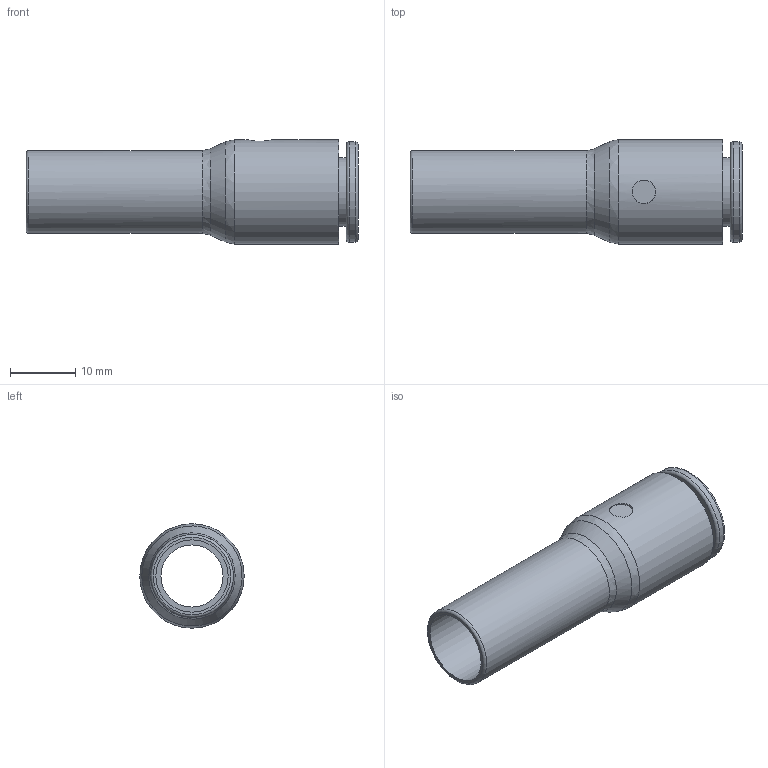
import cadquery as cq
import math

stem_radius = 12.7 / 2
stem_bore_radius = 11.1 / 2
stem_end_round = 0.4

body_radius = 16.0 / 2
body_end_x = 47.98
cone_half_angle = math.radians(25)
cone_start_x = 27.7
stem_blend_radius = 2.9
body_blend_radius = 3.3

overall_length = 50.96
neck_radius = 10.5 / 2
collet_bore_radius = 9.53 / 2
flange_radius = 15.4 / 2
flange_width = 1.8
flange_round = 0.45

recess_x = 35.9
recess_diameter = 3.6
recess_depth = 0.3

cone_length = (body_radius - stem_radius) / math.tan(cone_half_angle)
cone_end_x = cone_start_x + cone_length


def cylinder(start_x, end_x, radius):
    """Cylinder along the part axis between two X stations."""
    return cq.Workplane("YZ", origin=(start_x, 0, 0)).circle(radius).extrude(end_x - start_x)


def circle_centred_at(x):
    """Selector for the circular edge whose centre lies on the part axis at this X."""
    return cq.selectors.NearestToPointSelector((x, 0, 0))


def make_outer_body():
    """Stem, blended cone and socket body as one turned solid."""
    body = (
        cq.Workplane("XY")
        .moveTo(0, 0)
        .lineTo(0, stem_radius)
        .lineTo(cone_start_x, stem_radius)
        .lineTo(cone_end_x, body_radius)
        .lineTo(body_end_x, body_radius)
        .lineTo(body_end_x, 0)
        .close()
        .revolve(360, (0, 0, 0), (1, 0, 0))
    )

    body = body.edges(circle_centred_at(cone_end_x)).fillet(body_blend_radius)
    body = body.edges(circle_centred_at(cone_start_x)).fillet(stem_blend_radius)
    return body.faces("<X").edges().fillet(stem_end_round)


def make_collet():
    """Neck and rounded release flange."""
    flange_start_x = overall_length - flange_width
    flange = cylinder(flange_start_x, overall_length, flange_radius).edges("%CIRCLE").fillet(flange_round)
    neck = cylinder(body_end_x, flange_start_x, neck_radius)
    return neck.union(flange)


def make_bore():
    """Stem bore up to the end of the cone, then the narrower socket bore."""
    stem_bore = cylinder(0, cone_end_x, stem_bore_radius)
    socket_bore = cylinder(0, overall_length, collet_bore_radius)
    return stem_bore.union(socket_bore)


def make_marking_recess():
    """Shallow round flat-bottomed recess on the top of the body."""
    floor_z = body_radius - recess_depth
    return (
        cq.Workplane("XY", origin=(recess_x, 0, floor_z))
        .circle(recess_diameter / 2)
        .extrude(2 * recess_depth)
    )


result = make_outer_body().union(make_collet()).cut(make_bore()).cut(make_marking_recess())